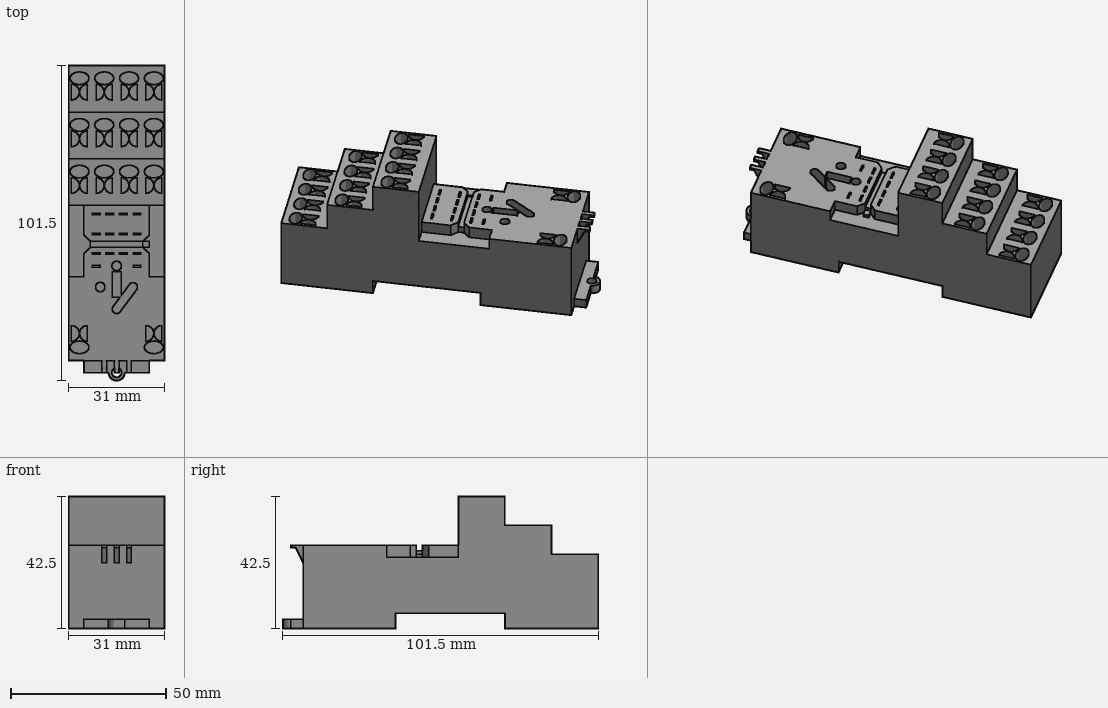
import cadquery as cq
import math

LENGTH = 101.5
WIDTH = 31.0
HEIGHT = 42.5
FRONT_Y = 6.5
STEP_LENGTH = 15.0
TERRACE_TOPS = [24.0, 33.3, HEIGHT]
DECK_TOP = 26.9
DECK_REAR_Y = LENGTH - len(TERRACE_TOPS) * STEP_LENGTH

RAIL_FRONT_Y = 36.2
RAIL_REAR_Y = LENGTH - 2 * STEP_LENGTH
RAIL_DEPTH = 4.9

LEDGE_Z = 22.9
LEDGE_FRONT_Y = 33.4
ISLAND_WIDTH = 21.1
GROOVE_FRONT_Y = 42.9
GROOVE_REAR_Y = 44.9
GROOVE_FLOOR_Z = 25.1
GROOVE_STEP_Z = 24.0
ISLAND_BEVEL_X = 2.1
ISLAND_BEVEL_Y = 2.0

TERMINALS_PER_STEP = 4
TERMINAL_SPAN = 24.0
TERMINAL_PITCH = TERMINAL_SPAN / (TERMINALS_PER_STEP - 1)
SCREW_INSET = 4.2
SCREW_LENGTH_X = 6.1
SCREW_LENGTH_Y = 4.1
BOW_OFFSET = 4.5
BOW_WIDTH = 5.2
BOW_LOBE_RADIUS = 2.5
TERMINAL_DEPTH = 6.1
FRONT_SCREW_Y = 10.8

SLITS_PER_ROW = 4
SLIT_LENGTH = 2.5
SLIT_WIDTH = 0.5
SLIT_DEPTH = 1.0
SLIT_PITCH = 4.4
FULL_SLIT_ROWS = [53.7, 47.2, 40.9]
OUTER_SLIT_ROW = 36.8

KEY_DEPTH = 5.1
KEY_DIAMETER = 3.0
KEY_SIDE_X = 5.3
KEY_SIDE_Y = 30.1
KEY_REAR_Y = 36.9
KEY_PIVOT_Y = 23.0
KEY_WINDOW_WIDTH = 2.8
KEY_WINDOW_FRONT_Y = 26.8
KEY_WINDOW_REAR_Y = 35.1

OVERHANG = 4.0
HOOK_COUNT = 3
HOOK_WIDTH = 1.5
HOOK_PITCH = TERMINAL_PITCH / 2
HOOK_HEIGHT = 5.8
HOOK_LIP_HEIGHT = 0.8
HOOK_LIP_LENGTH = 1.5
TAB_HEIGHT = 3.0
RING_DIAMETER = 5.3
RING_HOLE_DIAMETER = 3.0


def block(width, y_min, y_max, z_min, z_max, x_center=0.0):
    """Rectangular block given by its width and its Y and Z limits."""
    return (
        cq.Workplane("XY", origin=(x_center, (y_min + y_max) / 2, z_min))
        .box(width, y_max - y_min, z_max - z_min, centered=(True, True, False))
    )


def row_positions(count, pitch):
    """X positions of a row centred on the part."""
    return [(i - (count - 1) / 2) * pitch for i in range(count)]


def make_housing():
    housing = block(WIDTH, FRONT_Y, DECK_REAR_Y, 0, DECK_TOP)
    for step, top in enumerate(TERRACE_TOPS):
        rear_y = LENGTH - step * STEP_LENGTH
        housing = housing.union(block(WIDTH, rear_y - STEP_LENGTH, rear_y, 0, top))
    return housing.cut(block(WIDTH, RAIL_FRONT_Y, RAIL_REAR_Y, 0, RAIL_DEPTH))


def make_island_half(groove_edge_y, outer_y):
    """One half of the island, bevelled at its two corners next to the groove."""
    half_width = ISLAND_WIDTH / 2
    bevel_end_y = groove_edge_y + math.copysign(ISLAND_BEVEL_Y, outer_y - groove_edge_y)
    neck = half_width - ISLAND_BEVEL_X
    return (
        cq.Workplane("XY", origin=(0, 0, LEDGE_Z))
        .polyline([
            (-neck, groove_edge_y),
            (neck, groove_edge_y),
            (half_width, bevel_end_y),
            (half_width, outer_y),
            (-half_width, outer_y),
            (-half_width, bevel_end_y),
        ])
        .close()
        .extrude(DECK_TOP - LEDGE_Z)
    )


def make_groove_floor():
    """Groove floor between the necks, with a lower step reaching the island's +X side."""
    neck = ISLAND_WIDTH / 2 - ISLAND_BEVEL_X
    floor = block(2 * neck, GROOVE_FRONT_Y, GROOVE_REAR_Y, LEDGE_Z, GROOVE_FLOOR_Z)
    step_x = neck + ISLAND_BEVEL_X / 2
    step = block(ISLAND_BEVEL_X, GROOVE_FRONT_Y, GROOVE_REAR_Y, LEDGE_Z, GROOVE_STEP_Z, step_x)
    return floor.union(step)


def add_relay_seat(body):
    body = body.cut(block(WIDTH, LEDGE_FRONT_Y, DECK_REAR_Y, LEDGE_Z, DECK_TOP))
    body = body.union(make_island_half(GROOVE_FRONT_Y, LEDGE_FRONT_Y))
    body = body.union(make_island_half(GROOVE_REAR_Y, DECK_REAR_Y))
    return body.union(make_groove_floor())


def cut_terminal(body, x, screw_y, top, bow_direction):
    """Cut a screw hole and its bow-tie opening, which lies to +Y or -Y of the hole."""
    bow_y = screw_y + bow_direction * BOW_OFFSET
    floor = top - TERMINAL_DEPTH
    screw = (
        cq.Workplane("XY", origin=(x, screw_y, floor))
        .ellipse(SCREW_LENGTH_X / 2, SCREW_LENGTH_Y / 2)
        .extrude(TERMINAL_DEPTH)
    )
    body = body.cut(screw)
    for side in (-1, 1):
        flat_x = x + side * BOW_WIDTH / 2
        lobe = (
            cq.Workplane("XY", origin=(flat_x, bow_y, floor))
            .moveTo(0, -BOW_LOBE_RADIUS)
            .threePointArc((-side * BOW_LOBE_RADIUS, 0), (0, BOW_LOBE_RADIUS))
            .close()
            .extrude(TERMINAL_DEPTH)
        )
        body = body.cut(lobe)
    return body


def cut_terminals(body):
    columns = row_positions(TERMINALS_PER_STEP, TERMINAL_PITCH)
    for step, top in enumerate(TERRACE_TOPS):
        screw_y = LENGTH - step * STEP_LENGTH - SCREW_INSET
        for x in columns:
            body = cut_terminal(body, x, screw_y, top, -1)
    for x in (columns[0], columns[-1]):
        body = cut_terminal(body, x, FRONT_SCREW_Y, DECK_TOP, 1)
    return body


def cut_slits(body):
    columns = row_positions(SLITS_PER_ROW, SLIT_PITCH)
    points = [(x, y) for y in FULL_SLIT_ROWS for x in columns]
    points += [(x, OUTER_SLIT_ROW) for x in (columns[0], columns[-1])]
    slits = (
        cq.Workplane("XY", origin=(0, 0, DECK_TOP - SLIT_DEPTH))
        .pushPoints(points)
        .rect(SLIT_LENGTH, SLIT_WIDTH)
        .extrude(SLIT_DEPTH)
    )
    return body.cut(slits)


def cut_key_openings(body):
    floor = DECK_TOP - KEY_DEPTH
    holes = (
        cq.Workplane("XY", origin=(0, 0, floor))
        .pushPoints([(0, KEY_REAR_Y), (-KEY_SIDE_X, KEY_SIDE_Y)])
        .circle(KEY_DIAMETER / 2)
        .extrude(KEY_DEPTH)
    )
    window = block(KEY_WINDOW_WIDTH, KEY_WINDOW_FRONT_Y, KEY_WINDOW_REAR_Y, floor, DECK_TOP)
    rise = KEY_SIDE_Y - KEY_PIVOT_Y
    slanted_slot = (
        cq.Workplane("XY", origin=(KEY_SIDE_X / 2, KEY_PIVOT_Y + rise / 2, floor))
        .slot2D(
            math.hypot(KEY_SIDE_X, rise) + KEY_WINDOW_WIDTH,
            KEY_WINDOW_WIDTH,
            math.degrees(math.atan2(rise, KEY_SIDE_X)),
        )
        .extrude(KEY_DEPTH)
    )
    return body.cut(holes).cut(window).cut(slanted_slot)


def add_hooks(body):
    tip_y = FRONT_Y - OVERHANG
    lip_z = DECK_TOP - HOOK_LIP_HEIGHT
    for x in row_positions(HOOK_COUNT, HOOK_PITCH):
        hook = (
            cq.Workplane("YZ", origin=(x, 0, 0))
            .polyline([
                (FRONT_Y, DECK_TOP),
                (tip_y, DECK_TOP),
                (tip_y, lip_z),
                (tip_y + HOOK_LIP_LENGTH, lip_z),
                (FRONT_Y, DECK_TOP - HOOK_HEIGHT),
            ])
            .close()
            .extrude(HOOK_WIDTH / 2, both=True)
        )
        body = body.union(hook)
    return body


def add_release_tab(body):
    ring_y = RING_DIAMETER / 2
    ring_plane = cq.Workplane("XY", origin=(0, ring_y, 0))
    ring = ring_plane.circle(RING_DIAMETER / 2).extrude(TAB_HEIGHT)
    hole = ring_plane.circle(RING_HOLE_DIAMETER / 2).extrude(TAB_HEIGHT)
    tab = block(ISLAND_WIDTH, FRONT_Y - OVERHANG, FRONT_Y, 0, TAB_HEIGHT)
    return body.union(tab.union(ring).cut(hole))


result = make_housing()
result = add_relay_seat(result)
result = cut_terminals(result)
result = cut_slits(result)
result = cut_key_openings(result)
result = add_hooks(result)
result = add_release_tab(result)